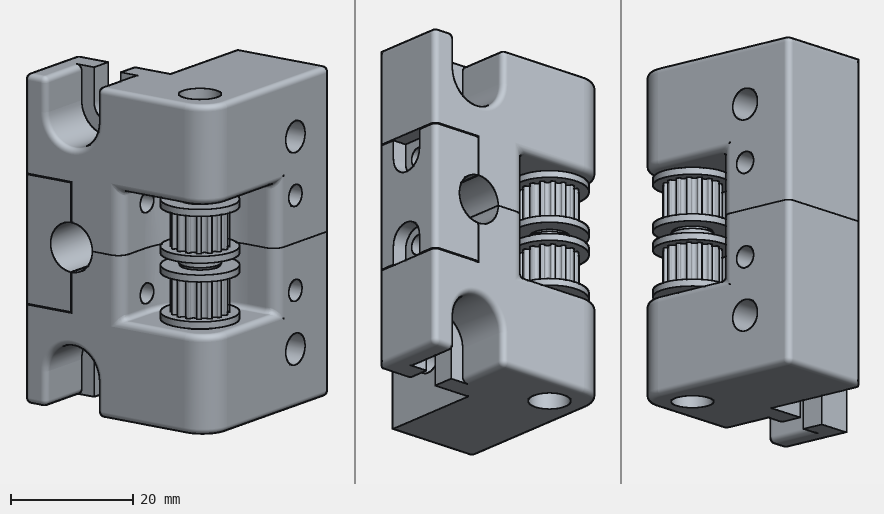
import cadquery as cq
import math

WIDTH = 37.5
DEPTH = 33.5
HEIGHT = 56.0
X_MIN = -WIDTH / 2
X_MAX = WIDTH / 2
Z_MAX = HEIGHT / 2

FLANGE_DEPTH = 13.95
ARM_X = 0.7
CORNER_RADIUS = 5.0
EDGE_FILLET = 1.0

SLOT_X = -9.2
ROD_DIAMETER = 8.45
SLOT_WIDTH = 5.4
SLOT_HEAD_DIAMETER = 10.4
SLOT_HEAD_DEPTH = 9.95
SLOT_ARC_Z = 22.0

CLAMP_HALF_HEIGHT = 11.15
CLAMP_GAP = 0.15
CLAMP_SCREW_DIAMETER = 3.5
CLAMP_SCREW_Y = 7.05
CLAMP_SCREW_Z = 7.7
CLAMP_RECESS_WIDTH = 6.5
CLAMP_RECESS_DEPTH = 2.65

CROSS_HOLE_Y = 23.95
LARGE_CROSS_DIAMETER = 5.4
LARGE_CROSS_Z = 18.05
SMALL_CROSS_DIAMETER = 3.7
SMALL_CROSS_Z = 8.05

AXIS_X = 12.05
AXIS_Y = 6.65
AXLE_HOLE_DIAMETER = 3.5
SCREW_HEAD_DIAMETER = 7.0
SCREW_HEAD_DEPTH = 11.2

PULLEY_INNER_Z = 1.0
PULLEY_OUTER_Z = 10.15
PULLEY_BORE = 3.0
RIM_DIAMETER = 13.0
RIM_THICKNESS = 1.2
TOOTH_COUNT = 16
TOOTH_TIP_DIAMETER = 9.75
GROOVE_WIDTH = 1.1
GROOVE_DEPTH = 0.7
TOOTH_TIP_FILLET = 0.14

BOSS_DIAMETER = 7.1
BOSS_CHAMFER_HEIGHT = 0.45
BOSS_CHAMFER_WIDTH = 0.2

POCKET_WALL_X = 0.9
POCKET_RADIUS = 12.0
POCKET_HALF_HEIGHT = 11.05
POCKET_SIDE_ROUND = 2.1
POCKET_END_ROUND = 1.1
POCKET_INNER_FILLET = 0.9

MARGIN = 2.8
TOLERANCE = 0.005


def outline():
    """L-shaped outline in the XY plane with the large front corner rounded."""
    corner_mid = CORNER_RADIUS * (1 - math.sqrt(0.5))
    return (
        cq.Workplane("XY")
        .moveTo(X_MIN, 0)
        .lineTo(X_MAX - CORNER_RADIUS, 0)
        .threePointArc((X_MAX - corner_mid, corner_mid), (X_MAX, CORNER_RADIUS))
        .lineTo(X_MAX, DEPTH)
        .lineTo(ARM_X, DEPTH)
        .lineTo(ARM_X, FLANGE_DEPTH)
        .lineTo(X_MIN, FLANGE_DEPTH)
        .close()
    )


def cylinder_z(x, y, diameter, z_from, z_to):
    return cq.Workplane("XY", origin=(x, y, z_from)).circle(diameter / 2).extrude(z_to - z_from)


def cylinder_x(y, z, diameter, x_from, x_to):
    return cq.Workplane("YZ", origin=(x_from, y, z)).circle(diameter / 2).extrude(x_to - x_from)


def box(x_from, x_to, y_from, y_to, z_from, z_to):
    size = (x_to - x_from, y_to - y_from, z_to - z_from)
    return cq.Workplane("XY").box(*size, centered=False).translate((x_from, y_from, z_from))


def open_slot(width, y_from, y_to, side):
    """Round-bottomed slot along Y, open at the top (side = 1) or the bottom (side = -1)."""
    round_end = (
        cq.Workplane("XZ", origin=(SLOT_X, y_from, side * SLOT_ARC_Z))
        .circle(width / 2)
        .extrude(y_from - y_to)
    )
    z_ends = sorted((side * SLOT_ARC_Z, side * (Z_MAX + MARGIN)))
    return round_end.union(box(SLOT_X - width / 2, SLOT_X + width / 2, y_from, y_to, *z_ends))


def is_rounded(edge):
    """True for the outer edges that carry the general edge fillet."""
    middle = edge.positionAt(0.5)
    upright = abs(edge.tangentAt(0.5).z) > 0.55 - TOLERANCE
    on_side = abs(middle.x - X_MIN) < TOLERANCE or abs(middle.x - X_MAX) < TOLERANCE
    on_front = abs(middle.y) < TOLERANCE
    on_back = abs(middle.y - DEPTH) < TOLERANCE
    on_large_corner = middle.x > X_MAX - CORNER_RADIUS - TOLERANCE and middle.y < CORNER_RADIUS + TOLERANCE
    on_slot_wall = (
        abs(abs(middle.x - SLOT_X) - SLOT_HEAD_DIAMETER / 2) < TOLERANCE
        and abs(abs(middle.z) - Z_MAX) < TOLERANCE
    )
    if on_large_corner:
        return not upright
    return on_side or on_front or on_back or on_slot_wall


def outer_block():
    """Housing and clamp in one piece: head slots sunk in and outer edges rounded."""
    block = outline().extrude(HEIGHT).translate((0, 0, -Z_MAX))
    for side in (1, -1):
        block = block.cut(open_slot(SLOT_HEAD_DIAMETER, -MARGIN, SLOT_HEAD_DEPTH, side))
    rounded_edges = [edge for edge in block.edges().vals() if is_rounded(edge)]
    return block.newObject(rounded_edges).fillet(EDGE_FILLET)


def pocket_plan():
    """Pocket seen along Z: quarter-round back corner and flared mouth edges."""
    corner_x = POCKET_WALL_X + POCKET_RADIUS
    back_y = AXIS_Y + POCKET_RADIUS
    flare = POCKET_SIDE_ROUND
    flare_mid = flare * (1 - math.sqrt(0.5))
    back_mid = POCKET_RADIUS * math.sqrt(0.5)
    return (
        cq.Workplane("XY")
        .moveTo(POCKET_WALL_X - flare, 0)
        .threePointArc((POCKET_WALL_X - flare_mid, flare_mid), (POCKET_WALL_X, flare))
        .lineTo(POCKET_WALL_X, AXIS_Y)
        .threePointArc((corner_x - back_mid, AXIS_Y + back_mid), (corner_x, back_y))
        .lineTo(X_MAX - flare, back_y)
        .threePointArc((X_MAX - flare_mid, back_y + flare_mid), (X_MAX, back_y + flare))
        .lineTo(X_MAX + MARGIN, back_y + flare)
        .lineTo(X_MAX + MARGIN, -MARGIN)
        .lineTo(POCKET_WALL_X - flare, -MARGIN)
        .close()
    )


def pocket_end_wall(side):
    """Solid stock beyond one end of the pocket, rounded where it meets the outside."""
    stock = outline().extrude(Z_MAX).translate((0, 0, POCKET_HALF_HEIGHT))
    stock = stock.faces("<Z").edges("<Y or >X").fillet(POCKET_END_ROUND)
    return stock if side > 0 else stock.mirror("XY")


def is_pocket_wall_end(edge):
    """True for edges where the upright pocket wall meets an end wall."""
    middle = edge.positionAt(0.5)
    on_end_wall = abs(abs(middle.z) - POCKET_HALF_HEIGHT) < TOLERANCE
    behind_mouth = middle.y > POCKET_SIDE_ROUND + TOLERANCE and middle.x < X_MAX - POCKET_SIDE_ROUND
    return on_end_wall and behind_mouth


def pulley_pocket():
    mouth_half_height = POCKET_HALF_HEIGHT + POCKET_END_ROUND
    pocket = pocket_plan().extrude(2 * mouth_half_height).translate((0, 0, -mouth_half_height))
    for side in (1, -1):
        pocket = pocket.cut(pocket_end_wall(side))
    wall_edges = [edge for edge in pocket.edges().vals() if is_pocket_wall_end(edge)]
    return pocket.newObject(wall_edges).fillet(POCKET_INNER_FILLET)


def boss():
    """Boss on the end wall of the pocket, tapering towards the pulley."""
    body = cylinder_z(AXIS_X, AXIS_Y, BOSS_DIAMETER, PULLEY_OUTER_Z, POCKET_HALF_HEIGHT)
    return body.faces("<Z").chamfer(BOSS_CHAMFER_HEIGHT, BOSS_CHAMFER_WIDTH)


def make_housing_halves(block):
    housing = block.cut(pulley_pocket())
    housing = housing.union(boss()).union(boss().mirror("XY"))

    clamp_seat = box(
        X_MIN - MARGIN, SLOT_X, -MARGIN, FLANGE_DEPTH + MARGIN, -CLAMP_HALF_HEIGHT, CLAMP_HALF_HEIGHT
    )
    housing = housing.cut(clamp_seat).cut(rod_bore())

    axle_bore = cylinder_z(AXIS_X, AXIS_Y, AXLE_HOLE_DIAMETER, -HEIGHT, HEIGHT)
    housing = housing.cut(axle_bore)
    for side in (1, -1):
        z_ends = sorted((side * (Z_MAX - SCREW_HEAD_DEPTH), side * (Z_MAX + MARGIN)))
        housing = housing.cut(cylinder_z(AXIS_X, AXIS_Y, SCREW_HEAD_DIAMETER, *z_ends))
        housing = housing.cut(open_slot(SLOT_WIDTH, -MARGIN, FLANGE_DEPTH + MARGIN, side))
        housing = housing.cut(clamp_screw_hole(side))
        for diameter, z in ((LARGE_CROSS_DIAMETER, LARGE_CROSS_Z), (SMALL_CROSS_DIAMETER, SMALL_CROSS_Z)):
            housing = housing.cut(cylinder_x(CROSS_HOLE_Y, side * z, diameter, 0, X_MAX + MARGIN))

    upper_space = box(-WIDTH, WIDTH, -DEPTH, 2 * DEPTH, 0, HEIGHT)
    return [housing.intersect(upper_space), housing.cut(upper_space)]


def rod_bore():
    return (
        cq.Workplane("XZ", origin=(SLOT_X, -MARGIN, 0))
        .circle(ROD_DIAMETER / 2)
        .extrude(-(FLANGE_DEPTH + 2 * MARGIN))
    )


def clamp_screw_hole(side):
    """Screw hole from the clamp face through to the pulley pocket."""
    return cylinder_x(CLAMP_SCREW_Y, side * CLAMP_SCREW_Z, CLAMP_SCREW_DIAMETER, X_MIN - MARGIN, AXIS_X)


def clamp_recess(side):
    """Screw-head recess, round at the inner end and open at the clamp's end face."""
    floor_x = X_MIN + CLAMP_RECESS_DEPTH
    half_width = CLAMP_RECESS_WIDTH / 2
    z_ends = sorted((side * CLAMP_SCREW_Z, side * (CLAMP_HALF_HEIGHT + MARGIN)))
    open_end = box(
        X_MIN - MARGIN, floor_x, CLAMP_SCREW_Y - half_width, CLAMP_SCREW_Y + half_width, *z_ends
    )
    round_end = cylinder_x(
        CLAMP_SCREW_Y, side * CLAMP_SCREW_Z, CLAMP_RECESS_WIDTH, X_MIN - MARGIN, floor_x
    )
    return open_end.union(round_end)


def make_clamp(block):
    half_height = CLAMP_HALF_HEIGHT - CLAMP_GAP
    envelope = box(X_MIN, SLOT_X - CLAMP_GAP, 0, FLANGE_DEPTH, -half_height, half_height)
    clamp = block.intersect(envelope).cut(rod_bore())
    for side in (1, -1):
        clamp = clamp.cut(clamp_screw_hole(side)).cut(clamp_recess(side))
    return clamp


def is_tooth_tip(edge):
    """True for upright edges on the tip circle of a pulley centred on the origin."""
    middle = edge.positionAt(0.5)
    return abs(math.hypot(middle.x, middle.y) - TOOTH_TIP_DIAMETER / 2) < TOLERANCE


def make_pulley(base_z):
    """Toothed belt pulley with two rims, standing on base_z."""
    top_z = base_z + PULLEY_OUTER_Z - PULLEY_INNER_Z
    tip_radius = TOOTH_TIP_DIAMETER / 2
    groove_centre = tip_radius - GROOVE_DEPTH + GROOVE_WIDTH / 2
    grooves = (
        cq.Workplane("XY", origin=(0, 0, base_z))
        .polarArray(groove_centre + GROOVE_WIDTH / 2, 0, 360, TOOTH_COUNT)
        .slot2D(2 * GROOVE_WIDTH, GROOVE_WIDTH)
        .extrude(top_z - base_z)
    )
    pulley = cylinder_z(0, 0, TOOTH_TIP_DIAMETER, base_z, top_z).cut(grooves)
    tip_edges = [edge for edge in pulley.edges("|Z").vals() if is_tooth_tip(edge)]
    pulley = pulley.newObject(tip_edges).fillet(TOOTH_TIP_FILLET)
    for rim_z in (base_z, top_z - RIM_THICKNESS):
        pulley = pulley.union(cylinder_z(0, 0, RIM_DIAMETER, rim_z, rim_z + RIM_THICKNESS))
    pulley = pulley.cut(cylinder_z(0, 0, PULLEY_BORE, base_z, top_z))
    return pulley.translate((AXIS_X, AXIS_Y, 0))


def make_spacer():
    spacer = cylinder_z(AXIS_X, AXIS_Y, BOSS_DIAMETER, -PULLEY_INNER_Z, PULLEY_INNER_Z)
    spacer = spacer.faces("<Z or >Z").chamfer(BOSS_CHAMFER_HEIGHT, BOSS_CHAMFER_WIDTH)
    return spacer.cut(cylinder_z(AXIS_X, AXIS_Y, AXLE_HOLE_DIAMETER, -PULLEY_INNER_Z, PULLEY_INNER_Z))


block = outer_block()
housing_halves = make_housing_halves(block)
clamp = make_clamp(block)
pulleys = [make_pulley(base_z) for base_z in (PULLEY_INNER_Z, -PULLEY_OUTER_Z)]
spacer = make_spacer()

result = cq.Compound.makeCompound([
    *[half.val() for half in housing_halves],
    clamp.val(),
    *[pulley.val() for pulley in pulleys],
    spacer.val(),
])